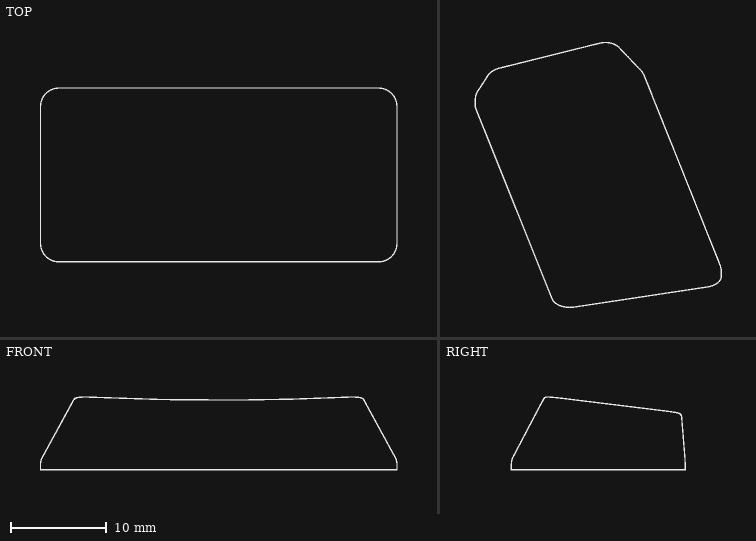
import cadquery as cq
import math

length = 37.2
width = 18.15
base_corner_radius = 1.95

rim_height = 0.6
bend_top = 1.38

upper_length = 30.05
upper_depth = 14.33
upper_corner_radius = 1.82
upper_front_inset = 3.55
upper_front_height = 7.75
top_tilt = 7.0

dish_radius = 275.35
dish_margin = 0.37
top_edge_radius = 0.37

tilt_angle = math.radians(top_tilt)
upper_front_y = -width / 2 + upper_front_inset
upper_back_y = upper_front_y + upper_depth * math.cos(tilt_angle)
upper_back_height = upper_front_height - upper_depth * math.sin(tilt_angle)
upper_middle_height = (upper_front_height + upper_back_height) / 2


def wall_lean(inset, height):
    """Angle from vertical of a wall that leans inward by inset at the given height."""
    return math.atan2(inset, height - (rim_height + bend_top) / 2)


side_lean = wall_lean((length - upper_length) / 2, upper_middle_height)
front_lean = wall_lean(upper_front_inset, upper_front_height)
back_lean = wall_lean(width / 2 - upper_back_y, upper_back_height)


def bend_inset(lean, height):
    """Distance the circular bend has moved a wall inward at the given height."""
    bend_radius = (bend_top - rim_height) / math.sin(lean)
    return bend_radius - math.sqrt(bend_radius**2 - (height - rim_height) ** 2)


def rounded_rectangle(x_size, y_size, radius):
    """Wire in the XY plane, centred on the origin."""
    block = cq.Workplane("XY").rect(x_size, y_size).extrude(0.37).edges("|Z").fillet(radius)
    return block.faces("<Z").wires().val()


def bend_outline(height):
    """Level outline of the walls at a height within the bend."""
    x_size = length - 2 * bend_inset(side_lean, height)
    front = -width / 2 + bend_inset(front_lean, height)
    back = width / 2 - bend_inset(back_lean, height)
    outline = rounded_rectangle(x_size, back - front, base_corner_radius)
    return outline.translate(cq.Vector(0, (front + back) / 2, height))


def upper_outline():
    """Tilted outline where the leaning walls end."""
    outline = rounded_rectangle(upper_length, upper_depth, upper_corner_radius)
    tilted = outline.rotate(cq.Vector(0, 0, 0), cq.Vector(1, 0, 0), -top_tilt)
    return tilted.translate(cq.Vector(0, (upper_front_y + upper_back_y) / 2, upper_middle_height))


def make_body():
    """Rim, bend and leaning walls stacked into one solid with a flat tilted top."""
    rim_outline = bend_outline(rim_height)
    middle_outline = bend_outline((rim_height + bend_top) / 2)
    wall_foot = bend_outline(bend_top)

    rim = cq.Solid.extrudeLinear(rim_outline, [], cq.Vector(0, 0, -rim_height))
    bend = cq.Solid.makeLoft([rim_outline, middle_outline, wall_foot])
    walls = cq.Solid.makeLoft([wall_foot, upper_outline()], True)
    return cq.Workplane(rim).union(cq.Workplane(bend)).union(cq.Workplane(walls))


def make_dish_cutter():
    """Long tilted cylinder whose underside forms the dished top."""
    dish_half_width = upper_length / 2 + dish_margin
    axis_height = math.sqrt(dish_radius**2 - dish_half_width**2)
    return (
        cq.Workplane("XZ")
        .center(0, axis_height)
        .circle(dish_radius)
        .extrude(2 * width, both=True)
        .rotate((0, 0, 0), (1, 0, 0), -top_tilt)
        .translate((0, upper_front_y, upper_front_height))
    )


dished = make_body().cut(make_dish_cutter())
result = dished.faces(">Z").edges().fillet(top_edge_radius)